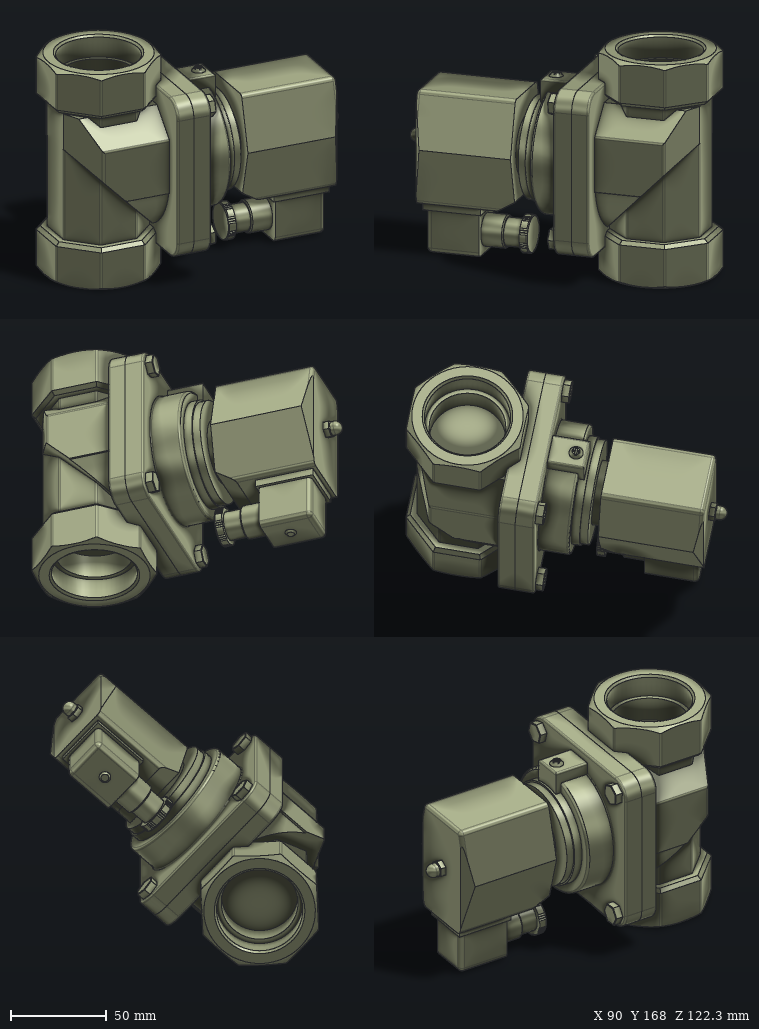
import cadquery as cq
import math


valve_height = 122.3
socket_across_flats = 60.5
socket_inner_z = 36.8
socket_corner_radius = 1.7
socket_bevel = 2.0
socket_face_diameter = 58.1
socket_chamfer_angle = 30.0

pipe_across_flats = 49.9
pipe_corner_cut = pipe_across_flats * (1 - math.tan(math.pi / 8)) / 2
pipe_corner_radius = 1.7

thread_diameter = 44.8
thread_depth = 12.5
thread_chamfer = 1.2
bore_diameter = 40.0
bore_depth = 25.7

flange_size = 90.0
flange_corner_radius = 10.0
flange_edge_radius = 1.0
flange_y = 24.4
joint_y = 33.8
cover_y = 43.8

chamber_half_width = 35.3
chamber_top_half_width = 19.8
chamber_top_z = 34.8
chamber_shoulder_z = 20.3
chamber_side_z = -9.7
chamber_side_y = -13.8
chamber_front_half_width = pipe_across_flats / 2 - pipe_corner_cut
chamber_round_radius = 35.0
chamber_round_z = -3.0
chamber_edge_radius = 1.7
seat_plane_offset = -10.5

dome_radius = 34.5
dome_y = 60.3
dome_edge_radius = 1.2
dome_root_radius = 0.7
collar_radius = 28.7
collar_y = 64.8
ring_radius = 27.7
ring_y = 69.0
stem_diameter = 34.1
stem_y = 74.0

tab_width = 16.6
tab_y = 63.5
tab_top_z = 40.1
tab_root_z = 16.8
tab_edge_radius = 1.0

screw_y = 57.6
screw_diameter = 7.4
screw_top_diameter = 4.0
screw_height = 2.0
recess_length = 4.0
recess_width = 1.0
recess_depth = 1.0

bolt_offset = 36.6
bolt_head_diameter = 12.0
bolt_head_height = 4.2
bolt_chamfer = 0.3
bolt_turns = {(-1, 1): -5.0, (1, 1): -16.0, (-1, -1): -26.5, (1, -1): 0.0}

coil_end_y = 128.7
coil_half_width = 25.5
coil_top_z = 30.2
coil_bottom_z = -32.3
coil_side_slope = 0.262
coil_edge_radius = 2.7
coil_end_edge_radius = 2.0
coil_end_half_width = 18.1
coil_end_setback = 4.2
coil_heel_length = 10.8
coil_heel_height = 6.7

acorn_flats = 8.0
acorn_hex_height = 3.5
acorn_hex_chamfer = 0.5
acorn_diameter = 7.4
acorn_tip_y = 137.7

plug_front_y = 96.0
plug_back_y = 125.0
plug_width = 24.2
plug_top_z = -36.3
plug_bottom_z = -60.0
plug_edge_radius = 2.7
gasket_overhang = 1.5

gland_z = -47.9
gland_radius = 8.9
gland_end_y = 84.0
gland_edge_chamfer = 0.7
neck_radius = 7.65
neck_end_y = 74.5
grip_radius = 10.2
grip_end_y = 70.2
grip_end_chamfer = 0.5
grip_lobe_count = 8
grip_groove_angles = (15.5, 22.5, 29.5)
grip_groove_diameter = 1.0

plug_screw_y = 109.2
plug_screw_diameter = 6.0
plug_screw_top_diameter = 4.0


def cylinder_y(radius, y_start, y_end, z=0.0):
    """Cylinder along Y between two Y positions."""
    plane = cq.Plane(origin=(0, y_start, z), xDir=(1, 0, 0), normal=(0, 1, 0))
    return cq.Workplane(plane).circle(radius).extrude(y_end - y_start)


def box_between(x_half, y_start, y_end, z_start, z_end):
    """Box centred on X between given Y and Z limits."""
    size = (2 * x_half, y_end - y_start, z_end - z_start)
    return cq.Workplane("XY").box(*size, centered=(True, False, False)).translate((0, y_start, z_start))


def square_plate(y_start, y_end):
    """Rounded square flange plate."""
    half = flange_size / 2
    return box_between(half, y_start, y_end, -half, half).edges("|Y").fillet(flange_corner_radius)


def hexagon_y(circle_diameter, turn, y_start, height):
    """Hexagonal prism along Y, with a corner towards +Z when turn is zero."""
    prism = cq.Workplane("XY").polygon(6, circle_diameter).extrude(height)
    prism = prism.rotate((0, 0, 0), (0, 0, 1), 90 + turn)
    return prism.rotate((0, 0, 0), (1, 0, 0), -90).translate((0, y_start, 0))


def screw_head(base_diameter, top_diameter, height):
    """Tapered screw head rising along +Z from the origin."""
    return (
        cq.Workplane("XY").circle(base_diameter / 2)
        .workplane(offset=height).circle(top_diameter / 2).loft()
    )


def make_socket():
    """Octagonal threaded end at the top of the pipe, without its bore."""
    height = valve_height / 2 - socket_inner_z
    corner_diameter = socket_across_flats / math.cos(math.pi / 8)
    socket = (
        cq.Workplane("XY").polygon(8, corner_diameter).extrude(height)
        .rotate((0, 0, 0), (0, 0, 1), 22.5)
        .faces("<Z").chamfer(socket_bevel)
        .edges("|Z").fillet(socket_corner_radius)
    )
    slope = math.tan(math.radians(socket_chamfer_angle))
    face_radius = socket_face_diameter / 2
    base_radius = face_radius + height / slope
    turned = cq.Workplane("XZ").polyline([(0, 0), (base_radius, 0), (face_radius, height), (0, height)])
    turned = turned.close().revolve(360, (0, 0, 0), (0, 1, 0))
    return socket.intersect(turned).translate((0, 0, socket_inner_z))


def make_socket_bore():
    """Stepped bore of the upper socket, with its mouth chamfer."""
    end_z = valve_height / 2
    thread_radius = thread_diameter / 2
    bore_radius = bore_diameter / 2
    outline = [
        (0, end_z),
        (thread_radius + thread_chamfer, end_z),
        (thread_radius, end_z - thread_chamfer),
        (thread_radius, end_z - thread_depth),
        (bore_radius, end_z - thread_depth),
        (bore_radius, end_z - bore_depth),
        (0, end_z - bore_depth),
    ]
    return cq.Workplane("XZ").polyline(outline).close().revolve(360, (0, 0, 0), (0, 1, 0))


def make_chamber():
    """Faceted valve chamber between the pipe and the flange, cut off along the valve seat plane."""
    round_x = math.sqrt(chamber_round_radius**2 - (chamber_side_z - chamber_round_z) ** 2)
    front_y = -pipe_across_flats / 2
    across = (
        cq.Workplane("XZ", origin=(0, flange_y, 0))
        .moveTo(-chamber_top_half_width, chamber_top_z)
        .lineTo(chamber_top_half_width, chamber_top_z)
        .lineTo(chamber_half_width, chamber_shoulder_z)
        .lineTo(chamber_half_width, chamber_side_z)
        .lineTo(round_x, chamber_side_z)
        .threePointArc((0, chamber_round_z - chamber_round_radius), (-round_x, chamber_side_z))
        .lineTo(-chamber_half_width, chamber_side_z)
        .lineTo(-chamber_half_width, chamber_shoulder_z)
        .close()
        .extrude(flange_y - front_y)
    )
    plan_points = [
        (-chamber_half_width, flange_y),
        (-chamber_half_width, chamber_side_y),
        (-chamber_front_half_width, front_y),
        (chamber_front_half_width, front_y),
        (chamber_half_width, chamber_side_y),
        (chamber_half_width, flange_y),
    ]
    plan = cq.Workplane("XY").polyline(plan_points).close().extrude(valve_height, both=True)
    for side in (-1, 1):
        shoulder = (side * chamber_half_width, 0, chamber_shoulder_z)
        across = across.edges(cq.NearestToPointSelector(shoulder)).fillet(chamber_edge_radius)
        corner = (side * chamber_half_width, chamber_side_y, 0)
        plan = plan.edges(cq.NearestToPointSelector(corner)).fillet(chamber_edge_radius)

    reach = valve_height
    seat_side = (
        cq.Workplane("YZ")
        .polyline([
            (-reach, reach + seat_plane_offset),
            (reach, -reach + seat_plane_offset),
            (reach, reach + seat_plane_offset),
        ])
        .close()
        .extrude(reach, both=True)
    )
    return across.intersect(plan).intersect(seat_side)


def make_body():
    pipe = (
        cq.Workplane("XY").rect(pipe_across_flats, pipe_across_flats).extrude(socket_inner_z + socket_bevel, both=True)
        .edges("|Z").chamfer(pipe_corner_cut)
        .edges("|Z").fillet(pipe_corner_radius)
    )
    flange = square_plate(flange_y, joint_y).faces("<Y").edges().fillet(flange_edge_radius)
    body = pipe.union(make_chamber()).union(flange)
    socket = make_socket()
    bore = make_socket_bore()
    body = body.union(socket).union(socket.mirror("XY"))
    return body.cut(bore).cut(bore.mirror("XY"))


def make_tab():
    """Block on top of the cover that carries a cross-recessed screw head."""
    tab = box_between(tab_width / 2, cover_y, tab_y, tab_root_z, tab_top_z)
    tab = tab.faces(">Z").edges(">Y or >X or <X").fillet(tab_edge_radius)
    head = screw_head(screw_diameter, screw_top_diameter, screw_height)
    for size in ((recess_length, recess_width), (recess_width, recess_length)):
        slot = cq.Workplane("XY").box(*size, recess_depth, centered=(True, True, False))
        head = head.cut(slot.translate((0, 0, screw_height - recess_depth)))
    return tab.union(head.translate((0, screw_y, tab_top_z)))


def make_cover():
    plate = square_plate(joint_y, cover_y).faces(">Y").edges().fillet(flange_edge_radius)
    dome = cylinder_y(dome_radius, joint_y, dome_y).faces(">Y").edges().fillet(dome_edge_radius)
    dome_root = cq.NearestToPointSelector((0, cover_y, 0))
    cover = plate.union(dome).edges(dome_root).fillet(dome_root_radius)
    for radius, end_y in ((collar_radius, collar_y), (ring_radius, ring_y), (stem_diameter / 2, stem_y)):
        cover = cover.union(cylinder_y(radius, joint_y, end_y))
    return cover.union(make_tab())


def make_bolt(x_side, z_side):
    """Hexagonal bolt head on one corner of the cover."""
    turn = bolt_turns[(x_side, z_side)]
    head = hexagon_y(bolt_head_diameter, turn, cover_y, bolt_head_height).faces(">Y").chamfer(bolt_chamfer)
    return head.translate((x_side * bolt_offset, 0, z_side * bolt_offset))


def make_coil():
    top_half = coil_half_width - coil_side_slope * coil_top_z
    bottom_half = coil_half_width + coil_side_slope * coil_bottom_z
    section = [
        (-top_half, coil_top_z),
        (top_half, coil_top_z),
        (coil_half_width, 0),
        (bottom_half, coil_bottom_z),
        (-bottom_half, coil_bottom_z),
        (-coil_half_width, 0),
    ]
    prism = cq.Workplane("XZ", origin=(0, coil_end_y, 0)).polyline(section).close()
    prism = prism.extrude(coil_end_y - stem_y)
    prism = prism.edges("|Y and (>Z or <Z)").fillet(coil_edge_radius)
    prism = prism.faces(">Z").edges(">Y").fillet(coil_end_edge_radius)

    plan_points = [
        (-coil_half_width, stem_y),
        (coil_half_width, stem_y),
        (coil_half_width, coil_end_y - coil_end_setback),
        (coil_end_half_width, coil_end_y),
        (-coil_end_half_width, coil_end_y),
        (-coil_half_width, coil_end_y - coil_end_setback),
    ]
    plan = cq.Workplane("XY").polyline(plan_points).close().extrude(2 * coil_top_z, both=True)

    heel_points = [
        (stem_y, coil_bottom_z),
        (stem_y + coil_heel_length, coil_bottom_z),
        (stem_y, coil_bottom_z + coil_heel_height),
    ]
    heel = cq.Workplane("YZ").polyline(heel_points).close().extrude(coil_half_width, both=True)
    return prism.intersect(plan).cut(heel)


def make_acorn_nut():
    corner_diameter = acorn_flats / math.cos(math.pi / 6)
    hexagon = hexagon_y(corner_diameter, 0, coil_end_y, acorn_hex_height)
    hexagon = hexagon.faces(">Y").chamfer(acorn_hex_chamfer)
    cap_radius = acorn_diameter / 2
    shank = cylinder_y(cap_radius, coil_end_y, acorn_tip_y - cap_radius)
    ball = cq.Workplane("XY").sphere(cap_radius).translate((0, acorn_tip_y - cap_radius, 0))
    return hexagon.union(shank).union(ball)


def make_cable_gland():
    """Stepped cable outlet with a grip ring at its end."""
    gland = cylinder_y(gland_radius, gland_end_y, plug_front_y, gland_z)
    gland = gland.faces("<Y").edges().chamfer(gland_edge_chamfer)
    neck = cylinder_y(neck_radius, neck_end_y, gland_end_y, gland_z)
    grip = cylinder_y(grip_radius, grip_end_y, neck_end_y, gland_z)
    grip = grip.faces("<Y").edges().chamfer(grip_end_chamfer)
    groove = cylinder_y(grip_groove_diameter / 2, grip_end_y, neck_end_y, gland_z + grip_radius)
    for lobe in range(grip_lobe_count):
        for groove_angle in grip_groove_angles:
            turn = lobe * 360 / grip_lobe_count + groove_angle
            grip = grip.cut(groove.rotate((0, 0, gland_z), (0, 1, gland_z), turn))
    return gland.union(neck).union(grip)


def make_connector():
    half = plug_width / 2
    plug = box_between(half, plug_front_y, plug_back_y, plug_bottom_z, plug_top_z)
    plug = plug.edges("(|Z and >Y) or (<Z and (not <Y))").fillet(plug_edge_radius)
    gasket = box_between(
        half + gasket_overhang,
        plug_front_y - gasket_overhang,
        plug_back_y + gasket_overhang,
        plug_top_z,
        coil_bottom_z,
    )
    screw_drop = plug_bottom_z + valve_height / 2
    screw = screw_head(plug_screw_diameter, plug_screw_top_diameter, screw_drop).mirror("XY")
    screw = screw.translate((0, plug_screw_y, plug_bottom_z))
    return plug.union(gasket).union(make_cable_gland()).union(screw)


body = make_body()
cover = make_cover()
bolts = [make_bolt(x_side, z_side) for x_side, z_side in bolt_turns]
coil = make_coil()
acorn_nut = make_acorn_nut()
connector = make_connector()

result = cq.Compound.makeCompound([
    body.val(),
    cover.val(),
    *[bolt.val() for bolt in bolts],
    coil.val(),
    acorn_nut.val(),
    connector.val(),
])